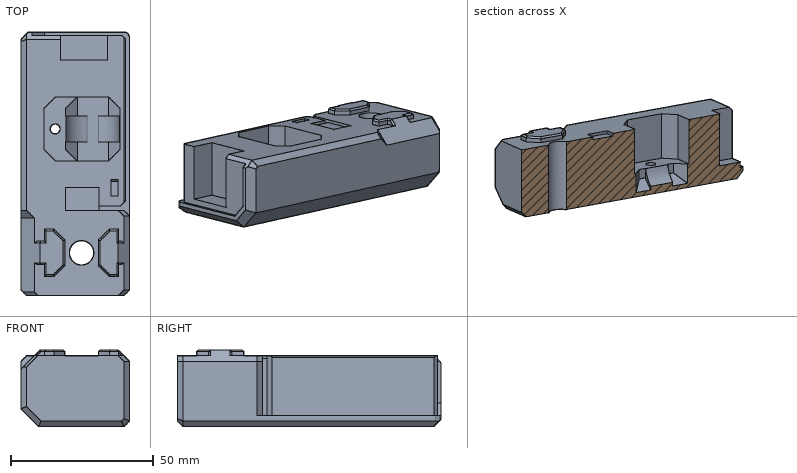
import cadquery as cq
import math

WIDTH = 38.25
LENGTH = 92.75
TOP = 25.0
OVERLAP = 1.0
REACH = 2 * LENGTH

CHAMFER = 2.0
BACK_CHAMFER = 2.55
LOWER_LEFT_LEG = 6.25
FRONT_BEVEL_LEG = 4.75
FRONT_LEFT_CORNER = 6.0
BACK_CORNER_RADIUS = 2.0

LOWER_LEFT_SIDES = [
    ((0, 0), (-1, 0)),
    ((LOWER_LEFT_LEG, 0), (-1, -1)),
    ((0, 0), (0, -1)),
]

FRONT_TOP_LENGTH = 30.0

PAD_CENTER_X = 21.35
PAD_CENTER_Y = 15.05
PAD_HEIGHT = 2.0
PAD_ROOT = 1.0
PAD_INNER = 5.9
PAD_SHOULDER = 9.75
PAD_OUTER = 13.05
PAD_HALF_LENGTH = 8.3
PAD_INNER_HALF_LENGTH = 4.5
PAD_NECK_HALF_LENGTH = 4.1
PAD_NECK_REACH = 20.0
PAD_CHAMFER = 0.6
MAIN_HOLE_DIAMETER = 8.5

PIT_LEFT = 8.05
PIT_RIGHT = 34.95
PIT_CENTER_Y = 58.65
PIT_LENGTH = 22.5
PIT_CORNER = 4.1
PIT_FLOOR = 1.0
PIT_RAMP = 4.2
SHELF_Z = 8.7
DEEP_LEFT = 15.65
CRADLE_RADIUS = 9.5
CRADLE_LENGTH = 9.25
CRADLE_GAP = 4.0
SHELF_HOLE_DIAMETER = 3.4
SHELF_HOLE_X = 12.05

NOTCH_LEFT = 14.0
NOTCH_RIGHT = 30.5
NOTCH_FRONT = 82.95
NOTCH_FLOOR = 6.0

RECESS_FLOOR = 4.0
RECESS_SIDE_DEPTH = 1.4
RECESS_BACK_DEPTH = 1.2
RECESS_FRONT_GAP = 1.5
RECESS_LEFT = 3.9
RECESS_RAMP = 4.35
PANEL_FRONT_CORNER = 1.85
PANEL_BACK_CORNER = 1.3

POCKET_LEFT = 15.65
POCKET_RIGHT = 27.4
POCKET_LENGTH = 8.1
POCKET_DEPTH = 1.0
SLIT_LEFT = 31.75
SLIT_RIGHT = 34.15
SLIT_FRONT = 35.05
SLIT_BACK = 40.9
SLIT_DEPTH = 3.0
SLIT_RAMP = 0.7


def box(x0, x1, y0, y1, z0, z1):
    """Block between the given limits."""
    return cq.Workplane("XY").box(x1 - x0, y1 - y0, z1 - z0, centered=False).translate((x0, y0, z0))


def beyond(point, normal):
    """Everything on the outer side of the plane through point."""
    return cq.Workplane(cq.Plane(origin=point, normal=normal)).rect(2 * REACH, 2 * REACH).extrude(REACH)


def octagon(x0, x1, corner):
    """Pit outline: a rectangle centered on the pit length with cut corners."""
    half = PIT_LENGTH / 2
    points = [
        (x0, half - corner),
        (x0 + corner, half),
        (x1 - corner, half),
        (x1, half - corner),
        (x1, corner - half),
        (x1 - corner, -half),
        (x0 + corner, -half),
        (x0, corner - half),
    ]
    return [(x, PIT_CENTER_Y + y) for x, y in points]


def beveled_bar():
    """Full-length bar with its lower and upper left bevels and its rounded back right edge."""
    bar = box(0, WIDTH, 0, LENGTH, 0, TOP)
    bar = bar.edges("|Z and >X and >Y").fillet(BACK_CORNER_RADIUS)
    bar = bar.cut(beyond((LOWER_LEFT_LEG, 0, 0), (-1, 0, -1)))
    bar = bar.cut(beyond((WIDTH - CHAMFER, 0, 0), (1, 0, -1)))
    bar = bar.cut(beyond((WIDTH - CHAMFER, 0, TOP), (1, 0, 1)))
    return bar.cut(beyond((CHAMFER, 0, TOP), (-1, 0, 1)))


def end_chamfer(end_y, outward, size, side_point, side_normal):
    """Equal-leg chamfer between an end face and the long face through side_point."""
    length = math.hypot(*side_normal)
    nx, nz = (component / length for component in side_normal)
    x, z = side_point
    return beyond((x, end_y - outward * size, z), (nx, outward, nz))


def chamfer_front(bar):
    """Break the front end all round except along its straight top edge."""
    right_sides = [
        ((WIDTH - CHAMFER, 0), (1, -1)),
        ((WIDTH, 0), (1, 0)),
    ]
    for side_point, side_normal in LOWER_LEFT_SIDES + right_sides:
        bar = bar.cut(end_chamfer(0, -1, CHAMFER, side_point, side_normal))
    bar = bar.cut(beyond((FRONT_LEFT_CORNER, 0, TOP), (-1, -1, 1)))
    return bar.cut(beyond((WIDTH - 2 * CHAMFER, 0, TOP), (1, -1, 1)))


def chamfer_back(bar):
    """Break the underside and left edges of the back end, and part of its top edge."""
    for side_point, side_normal in LOWER_LEFT_SIDES:
        bar = bar.cut(end_chamfer(LENGTH, 1, BACK_CHAMFER, side_point, side_normal))
    bar = bar.cut(beyond((CHAMFER, LENGTH - BACK_CHAMFER, TOP), (-math.sqrt(2), 1, 1)))
    left_of_notch = beyond((NOTCH_LEFT, 0, 0), (-1, 0, 0))
    top_cut = end_chamfer(LENGTH, 1, BACK_CHAMFER, (0, TOP), (0, 1))
    return bar.cut(top_cut.intersect(left_of_notch))


def front_bevel():
    """Deeper upper left bevel of the front area, with its sloping run-out at the back."""
    slope = beyond((FRONT_BEVEL_LEG, 0, TOP), (-1, 0, 1))
    run_out = beyond((CHAMFER, FRONT_TOP_LENGTH, TOP), (-1, -1, 1))
    return slope.intersect(run_out)


def front_corner_cut():
    """Broken upper right corner at the back of the front area, above the recess floor."""
    front_limit = FRONT_TOP_LENGTH - CHAMFER
    corner = box(WIDTH - 2 * CHAMFER, WIDTH + OVERLAP, front_limit,
                 FRONT_TOP_LENGTH + OVERLAP, RECESS_FLOOR, TOP + OVERLAP)
    upright = beyond((WIDTH, front_limit, 0), (1, 1, 0))
    oblique = beyond((WIDTH - CHAMFER, front_limit, TOP), (1, 1, 1))
    return corner.intersect(upright.union(oblique))


def cover_recess():
    """Recess around the panel: front gap, right side, and back end with a ramped left end."""
    panel_right = WIDTH - RECESS_SIDE_DEPTH
    panel_front = FRONT_TOP_LENGTH + RECESS_FRONT_GAP
    panel_back = LENGTH - RECESS_BACK_DEPTH
    rim = box(RECESS_LEFT, WIDTH + OVERLAP, FRONT_TOP_LENGTH, LENGTH + OVERLAP, RECESS_FLOOR, TOP + OVERLAP)
    panel = (
        cq.Workplane("XY")
        .polyline([
            (0, FRONT_TOP_LENGTH),
            (POCKET_RIGHT, FRONT_TOP_LENGTH),
            (POCKET_RIGHT, panel_front),
            (panel_right - PANEL_FRONT_CORNER, panel_front),
            (panel_right, panel_front + PANEL_FRONT_CORNER),
            (panel_right, panel_back - PANEL_BACK_CORNER),
            (panel_right - PANEL_BACK_CORNER, panel_back),
            (0, panel_back),
        ])
        .close()
        .extrude(TOP + OVERLAP)
    )
    ramp = beyond((RECESS_LEFT + RECESS_RAMP, 0, RECESS_FLOOR), (-1, 0, -1))
    return rim.cut(panel).cut(ramp)


def battery_pit():
    """Octagonal pit with a shelf on the left and a deep part holding two cradle ribs."""
    shelf = cq.Workplane("XY").workplane(offset=SHELF_Z)
    shelf = shelf.polyline(octagon(PIT_LEFT, PIT_RIGHT, PIT_CORNER)).close().extrude(TOP + OVERLAP - SHELF_Z)
    deep = cq.Workplane("XY").workplane(offset=PIT_FLOOR)
    deep = deep.polyline(octagon(DEEP_LEFT, PIT_RIGHT, PIT_CORNER)).close().extrude(SHELF_Z - PIT_FLOOR)
    deep = deep.cut(beyond((DEEP_LEFT + PIT_RAMP, 0, PIT_FLOOR), (-1, 0, -1)))
    deep = deep.cut(beyond((PIT_RIGHT - PIT_RAMP, 0, PIT_FLOOR), (1, 0, -1)))

    axis_x = (DEEP_LEFT + PIT_RIGHT) / 2
    axis_z = PIT_FLOOR + math.sqrt(CRADLE_RADIUS**2 - (CRADLE_GAP / 2)**2)
    cradle_front = PIT_CENTER_Y - CRADLE_LENGTH / 2
    cradle_back = PIT_CENTER_Y + CRADLE_LENGTH / 2
    ribs = box(DEEP_LEFT, PIT_RIGHT, cradle_front, cradle_back, PIT_FLOOR, SHELF_Z)
    cylinder = cq.Workplane("XZ", origin=(axis_x, cradle_back, axis_z)).circle(CRADLE_RADIUS)
    ribs = ribs.cut(cylinder.extrude(CRADLE_LENGTH))
    return shelf.union(deep.cut(ribs))


def back_notch():
    return box(NOTCH_LEFT, NOTCH_RIGHT, NOTCH_FRONT, LENGTH + OVERLAP, NOTCH_FLOOR, TOP + OVERLAP)


def top_pocket():
    pocket_back = FRONT_TOP_LENGTH + POCKET_LENGTH
    return box(POCKET_LEFT, POCKET_RIGHT, FRONT_TOP_LENGTH, pocket_back, TOP - POCKET_DEPTH, TOP + OVERLAP)


def top_slit():
    """Narrow slit with a 45-degree lead-in at its back end."""
    ramp_start = SLIT_BACK - SLIT_RAMP
    return (
        cq.Workplane("YZ", origin=(SLIT_LEFT, 0, TOP))
        .polyline([
            (SLIT_FRONT, 0),
            (SLIT_FRONT, -SLIT_DEPTH),
            (ramp_start, -SLIT_DEPTH),
            (ramp_start, -SLIT_RAMP),
            (SLIT_BACK, 0),
        ])
        .close()
        .extrude(SLIT_RIGHT - SLIT_LEFT)
    )


def through_hole(x, y, diameter):
    return cq.Workplane("XY", origin=(x, y, -OVERLAP)).circle(diameter / 2).extrude(TOP + 2 * OVERLAP)


def snap_pad(side, bevel_x):
    """Pad with a neck whose end follows the block's bevel; side is -1 for left, 1 for right.

    bevel_x is where the 45-degree bevel plane meets the top of the block.
    """
    outer_half = [
        (PAD_INNER, PAD_INNER_HALF_LENGTH),
        (PAD_SHOULDER, PAD_HALF_LENGTH),
        (PAD_OUTER, PAD_HALF_LENGTH),
    ]
    outline = outer_half + [(x, -y) for x, y in reversed(outer_half)]
    head = cq.Workplane("XY", origin=(PAD_CENTER_X, PAD_CENTER_Y, TOP - PAD_ROOT))
    head = head.polyline([(side * x, y) for x, y in outline]).close().extrude(PAD_ROOT + PAD_HEIGHT)
    head = head.faces(">Z").edges().chamfer(PAD_CHAMFER)

    neck_start = PAD_CENTER_X + side * PAD_SHOULDER
    neck_end = PAD_CENTER_X + side * PAD_NECK_REACH
    neck = box(min(neck_start, neck_end), max(neck_start, neck_end),
               PAD_CENTER_Y - PAD_NECK_HALF_LENGTH, PAD_CENTER_Y + PAD_NECK_HALF_LENGTH,
               TOP - PAD_ROOT, TOP + PAD_HEIGHT)
    bevel_normal = (side, 0, 1)
    along_bevel = cq.Vector(side, 0, -1)
    neck = neck.cut(beyond((bevel_x, 0, TOP), bevel_normal))
    top_edges = neck.faces(">Z").edges("|X").vals()
    bevel_edges = neck.edges(cq.selectors.ParallelDirSelector(along_bevel)).vals()
    neck = neck.newObject(top_edges + bevel_edges).chamfer(PAD_CHAMFER)
    return head.union(neck)


body = chamfer_back(chamfer_front(beveled_bar()))
for cut in (front_bevel(), cover_recess(), front_corner_cut(), battery_pit(), back_notch(),
            top_pocket(), top_slit()):
    body = body.cut(cut)
body = body.union(snap_pad(-1, FRONT_BEVEL_LEG))
body = body.union(snap_pad(1, WIDTH - CHAMFER))
body = body.cut(through_hole(PAD_CENTER_X, PAD_CENTER_Y, MAIN_HOLE_DIAMETER))
body = body.cut(through_hole(SHELF_HOLE_X, PIT_CENTER_Y, SHELF_HOLE_DIAMETER))

result = body